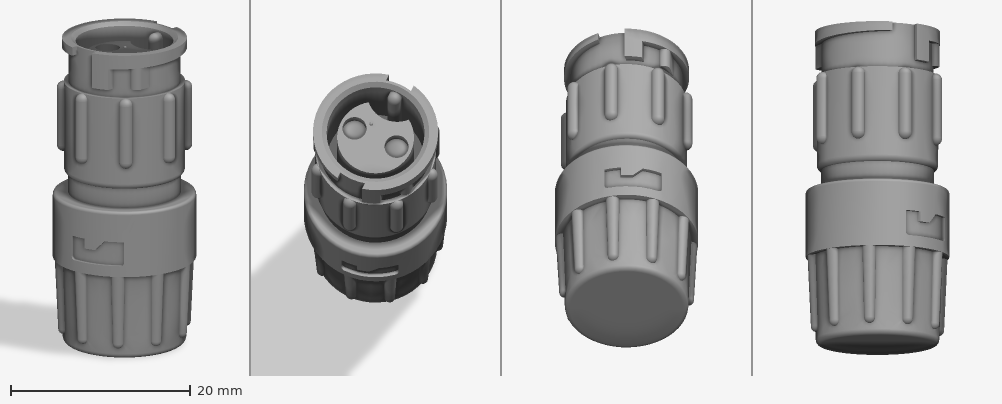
import cadquery as cq
import math

height = 35.43

grip_base_radius = 6.87
grip_top_radius = 7.23
base_fillet = 0.55
grip_rib_count = 10
grip_rib_turn = 2.0
grip_rib_bottom_z = 1.85
grip_rib_bottom_radius = 0.6
grip_rib_top_radius = 0.78
grip_rib_bottom_axis = 6.95
grip_rib_top_axis = 7.15

collar_bottom_z = 9.9
collar_top_z = 17.45
collar_radius = 8.0
collar_fillet = 0.35

recess_turn = 20.0
recess_half_width = 3.2
recess_depth = 0.43
recess_bottom_z = 11.15
recess_top_z = 13.95
recess_fillet = 0.4
tab_left = -1.38
tab_right = -0.07
tab_bottom_z = 12.83

neck_radius = 6.3

ring_bottom_z = 19.65
ring_top_z = 30.35
ring_radius = 6.75
ring_fillet = 0.67
ring_rib_count = 8
ring_rib_radius = 0.75
ring_rib_axis = 6.8
ring_rib_bottom_z = 22.95

barrel_radius = 6.27
rim_radius = 6.98
rim_gap_width = 3.05
rim_block_end = 3.35
rim_block_bottom_z = 31.35
ramp_low_z = 33.75
ramp_pitch = 1.85
ramp_margin = 8.0
ramp_cut_height = 3.2

detent_radius = 0.75
detent_x = 5.17
detent_y = 3.4
detent_tail = 1.63
detent_overlap = 0.35

bore_radius = 5.45
bore_floor_z = 26.57
mouth_radius = 6.0
mouth_depth = 0.4

insert_radius = 4.3
insert_top_z = 33.65
insert_cut_radius = 3.33
insert_cut_y = 5.75
contact_radius = 1.35
contact_offset = 2.6
contact_depth = 1.1
dot_radius = 0.2
dot_x = -1.15
dot_y = 1.28

key_radius = 0.75
key_y = 4.92
key_axis_z = 34.05

overlap = 0.15


def cylinder(radius, z_low, z_high, x=0.0, y=0.0):
    return cq.Workplane("XY", origin=(x, y, z_low)).circle(radius).extrude(z_high - z_low)


def ball(radius, x, y, z):
    return cq.Workplane("XY", origin=(x, y, z)).sphere(radius)


def box(x_low, x_high, y_low, y_high, z_low, z_high):
    return (
        cq.Workplane("XY", origin=(0, 0, z_low))
        .moveTo(x_low, y_low)
        .lineTo(x_high, y_low)
        .lineTo(x_high, y_high)
        .lineTo(x_low, y_high)
        .close()
        .extrude(z_high - z_low)
    )


def turned(piece, degrees):
    return piece.rotate((0, 0, 0), (0, 0, 1), degrees)


def make_grip():
    """Slightly conical grip with a rounded bottom edge."""
    cone = cq.Workplane(cq.Solid.makeCone(grip_base_radius, grip_top_radius, collar_bottom_z))
    return cone.faces("<Z").edges().fillet(base_fillet)


def make_grip_rib():
    """Tapered, leaning rib with a round lower end, on the -Y side."""
    foot = cq.Vector(0, -grip_rib_bottom_axis, grip_rib_bottom_z)
    head = cq.Vector(0, -grip_rib_top_axis, collar_bottom_z + overlap)
    lean = head - foot
    rod = cq.Solid.makeCone(grip_rib_bottom_radius, grip_rib_top_radius, lean.Length, foot, lean)
    return cq.Workplane(rod).union(ball(grip_rib_bottom_radius, *foot.toTuple()))


def make_recess():
    """Latch-shaped pocket of constant radial depth, centred on the -Y side."""
    tab_height = recess_top_z - tab_bottom_z
    outline = (
        cq.Workplane("XZ")
        .moveTo(-recess_half_width, recess_bottom_z)
        .lineTo(recess_half_width, recess_bottom_z)
        .lineTo(recess_half_width, recess_top_z)
        .lineTo(tab_right + tab_height, recess_top_z)
        .lineTo(tab_right, tab_bottom_z)
        .lineTo(tab_left, tab_bottom_z)
        .lineTo(tab_left, recess_top_z)
        .lineTo(-recess_half_width, recess_top_z)
        .close()
        .extrude(collar_radius + overlap)
    )
    outline = outline.edges("|Y and <Z").fillet(recess_fillet)
    return outline.cut(cylinder(collar_radius - recess_depth, 0, height))


def make_collar():
    collar = cylinder(collar_radius, collar_bottom_z, collar_top_z)
    collar = collar.faces(">Z").edges().fillet(collar_fillet)
    recess = turned(make_recess(), recess_turn)
    return collar.cut(recess).cut(turned(recess, 180))


def make_ring():
    ring = cylinder(ring_radius, ring_bottom_z, ring_top_z)
    return ring.faces("<Z").edges().fillet(ring_fillet)


def make_ring_rib():
    """Straight rib with round ends, on the -Y side."""
    top_z = ring_top_z - ring_rib_radius
    rod = cylinder(ring_rib_radius, ring_rib_bottom_z, top_z, 0, -ring_rib_axis)
    for end_z in (ring_rib_bottom_z, top_z):
        rod = rod.union(ball(ring_rib_radius, 0, -ring_rib_axis, end_z))
    return rod


def make_ramp_cutter():
    """Space below the helical rim edge, from the -Y block round the +X side to the +Y gap."""
    inner = barrel_radius - overlap
    outer = rim_radius + overlap
    block_end_angle = math.degrees(math.asin(rim_block_end / rim_radius)) - 90
    start_angle = block_end_angle - ramp_margin
    start_z = ramp_low_z - ramp_pitch * ramp_margin / 360
    sweep_turn = 90 - start_angle
    path = cq.Wire.makeHelix(ramp_pitch, ramp_pitch * sweep_turn / 360, inner)
    cutter = (
        cq.Workplane("XZ")
        .moveTo(inner, 0)
        .lineTo(outer, 0)
        .lineTo(outer, -ramp_cut_height)
        .lineTo(inner, -ramp_cut_height)
        .close()
        .sweep(cq.Workplane(path), isFrenet=True)
    )
    return turned(cutter, start_angle).translate((0, 0, start_z))


def make_rim():
    """Bayonet rim: two halves, each with a deep block, a helical underside and a gap."""
    rim = cylinder(rim_radius, rim_block_bottom_z, height)
    gap_half = rim_gap_width / 2
    rim = rim.cut(box(-gap_half, gap_half, -rim_radius, rim_radius, rim_block_bottom_z, height))
    block_space = box(-rim_radius, rim_block_end, -rim_radius - overlap, 0, 0, height)
    ramp = make_ramp_cutter().cut(block_space)
    return rim.cut(ramp).cut(turned(ramp, 180))


def make_detent():
    """Bump with a rounded leading side and a flat side facing +X."""
    top_z = ramp_low_z + detent_overlap
    nose = cylinder(detent_radius, rim_block_bottom_z, top_z, detent_x, -detent_y)
    tail = box(
        detent_x - detent_radius, detent_x + detent_radius,
        -detent_y, -detent_y + detent_tail,
        rim_block_bottom_z, top_z,
    )
    return nose.union(tail)


def make_socket():
    bore = cylinder(bore_radius, bore_floor_z, height)
    mouth = cq.Solid.makeCone(
        bore_radius, mouth_radius, mouth_depth, cq.Vector(0, 0, height - mouth_depth)
    )
    return bore.union(cq.Workplane(mouth))


def make_insert():
    """Round insert with a scooped side, two contact wells and a marking dot."""
    insert = cylinder(insert_radius, bore_floor_z - overlap, insert_top_z)
    insert = insert.cut(cylinder(insert_cut_radius, bore_floor_z, height, 0, insert_cut_y))
    for x in (-contact_offset, contact_offset):
        insert = insert.cut(cylinder(contact_radius, insert_top_z - contact_depth, height, x))
    return insert.union(ball(dot_radius, dot_x, dot_y, insert_top_z))


def make_key():
    """Upright key on the +Y wall of the socket, with a round nose and a round top edge."""
    wall_y = bore_radius + overlap
    foot_z = bore_floor_z - overlap
    key = cylinder(key_radius, foot_z, key_axis_z, 0, key_y)
    key = key.union(box(-key_radius, key_radius, key_y, wall_y, foot_z, key_axis_z))
    crown = (
        cq.Workplane("XZ", origin=(0, key_y, 0))
        .center(0, key_axis_z)
        .circle(key_radius)
        .extrude(key_y - wall_y)
    )
    return key.union(crown).union(ball(key_radius, 0, key_y, key_axis_z))


result = make_grip().union(make_collar())

grip_rib = make_grip_rib()
for index in range(grip_rib_count):
    result = result.union(turned(grip_rib, grip_rib_turn + index * 360 / grip_rib_count))

result = result.union(cylinder(neck_radius, collar_top_z - overlap, ring_bottom_z + ring_fillet))
result = result.union(make_ring())

ring_rib = make_ring_rib()
for index in range(ring_rib_count):
    result = result.union(turned(ring_rib, index * 360 / ring_rib_count))

result = result.union(make_rim())
result = result.union(cylinder(barrel_radius, ring_top_z - overlap, height))

detent = make_detent()
result = result.union(detent).union(turned(detent, 180))

result = result.cut(make_socket()).union(make_insert()).union(make_key())